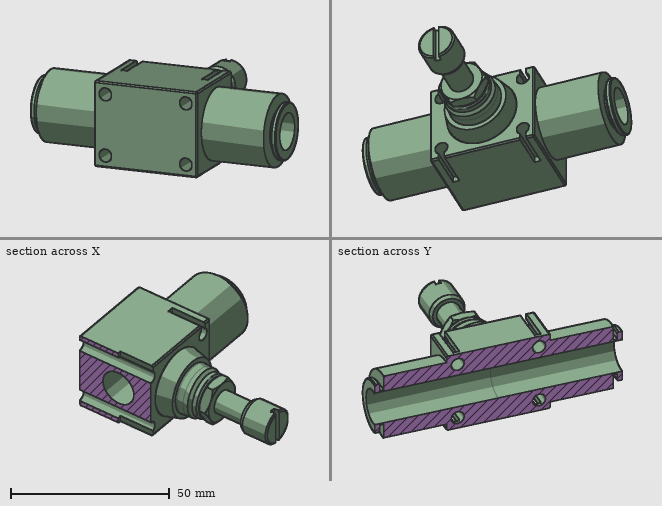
import cadquery as cq
import math

block_length = 35.35
block_side = 28.0
block_front = -15.2
block_back = block_front + block_side
block_chamfer = 0.5

hole_radius = 2.1
hole_x = 13.8
hole_z = 10.0
slot_width = 2.1

overall_length = 84.15
tube_radius = 11.8
tube_length = 77.9
neck_radius = 6.7
flange_radius = 9.3
flange_thickness = 1.85
flange_outer_chamfer = 0.3
flange_inner_chamfer = 0.5
bore_radius = 6.0

screw_tip = 52.25
head_radius = 6.1
head_bottom = 41.65
head_tip_chamfer = (0.4, 0.6)
head_bottom_chamfer = (1.3, 0.75)
pin_radius = 4.0
driver_slot_width = 1.8
driver_slot_depth = 2.0

nut_top = 30.4
nut_bottom = 26.8
nut_flat_distance = 14.0
nut_chamfer_width = 1.1
nut_chamfer_height = 0.7

collar_profile = [
    (11.6, block_back),
    (11.9, 13.05),
    (10.4, 18.7),
    (8.8, 18.7),
    (8.8, 19.2),
    (8.6, 21.4),
    (8.6, 23.2),
    (7.8, 24.5),
    (7.8, 25.75),
    (7.7, 26.1),
    (7.3, nut_bottom),
]


def x_cylinder(radius, length):
    """Cylinder centred on the origin with its axis along X."""
    return cq.Workplane("YZ").circle(radius).extrude(length / 2, both=True)


def turned_about_y(profile):
    """Solid of revolution about Y from (radius, y) points, closed along the axis."""
    start = (0, profile[0][1])
    end = (0, profile[-1][1])
    outline = cq.Workplane("XY").polyline([start] + profile + [end]).close()
    return outline.revolve(360, (0, 0, 0), (0, 1, 0))


def make_block():
    block = cq.Workplane("XY").box(block_length, block_side, block_side)
    return block.edges().chamfer(block_chamfer).translate((0, (block_front + block_back) / 2, 0))


def make_ports():
    """Tubes, necks and release flanges at both ends."""
    flange = cq.Workplane("YZ").circle(flange_radius).extrude(flange_thickness)
    flange = flange.faces(">X").chamfer(flange_outer_chamfer)
    flange = flange.faces("<X").chamfer(flange_inner_chamfer)
    flange = flange.translate((overall_length / 2 - flange_thickness, 0, 0))
    ports = x_cylinder(tube_radius, tube_length)
    ports = ports.union(x_cylinder(neck_radius, overall_length - flange_thickness))
    return ports.union(flange).union(flange.mirror("YZ"))


def make_nut():
    """Hexagon nut with corners on X, its corners trimmed by a cone at each face."""
    corner_radius = nut_flat_distance / 2 / math.cos(math.radians(30))
    face_radius = corner_radius - nut_chamfer_width
    height = nut_top - nut_bottom
    hexagon = cq.Workplane("XZ", origin=(0, nut_top, 0)).polygon(6, 2 * corner_radius).extrude(height)
    trim = turned_about_y([
        (face_radius, nut_bottom),
        (corner_radius, nut_bottom + nut_chamfer_height),
        (corner_radius, nut_top - nut_chamfer_height),
        (face_radius, nut_top),
    ])
    return hexagon.intersect(trim)


def make_screw():
    """Pin and slotted head."""
    bottom_height, bottom_width = head_bottom_chamfer
    tip_height, tip_width = head_tip_chamfer
    screw = turned_about_y([
        (pin_radius, nut_bottom),
        (pin_radius, head_bottom),
        (head_radius - bottom_width, head_bottom),
        (head_radius, head_bottom + bottom_height),
        (head_radius, screw_tip - tip_height),
        (head_radius - tip_width, screw_tip),
    ])
    driver_slot = cq.Workplane("XY").box(driver_slot_width, 2 * driver_slot_depth, 3 * head_radius)
    return screw.cut(driver_slot.translate((0, screw_tip, 0)))


def mounting_cuts():
    """Through holes along Y with slots to the top and bottom flats."""
    corners = [(x, z) for x in (-hole_x, hole_x) for z in (-hole_z, hole_z)]
    cuts = (
        cq.Workplane("XZ", origin=(0, block_back, 0))
        .pushPoints(corners).circle(hole_radius).extrude(block_side)
    )
    slot_height = block_side / 2 - hole_z
    for x, z in corners:
        slot_z = math.copysign(hole_z + slot_height / 2, z)
        slot = cq.Workplane("XY").box(slot_width, block_back, slot_height)
        cuts = cuts.union(slot.translate((x, block_back / 2, slot_z)))
    return cuts


result = make_block().union(make_ports())
result = result.union(turned_about_y(collar_profile)).union(make_nut()).union(make_screw())
result = result.cut(mounting_cuts()).cut(x_cylinder(bore_radius, overall_length))